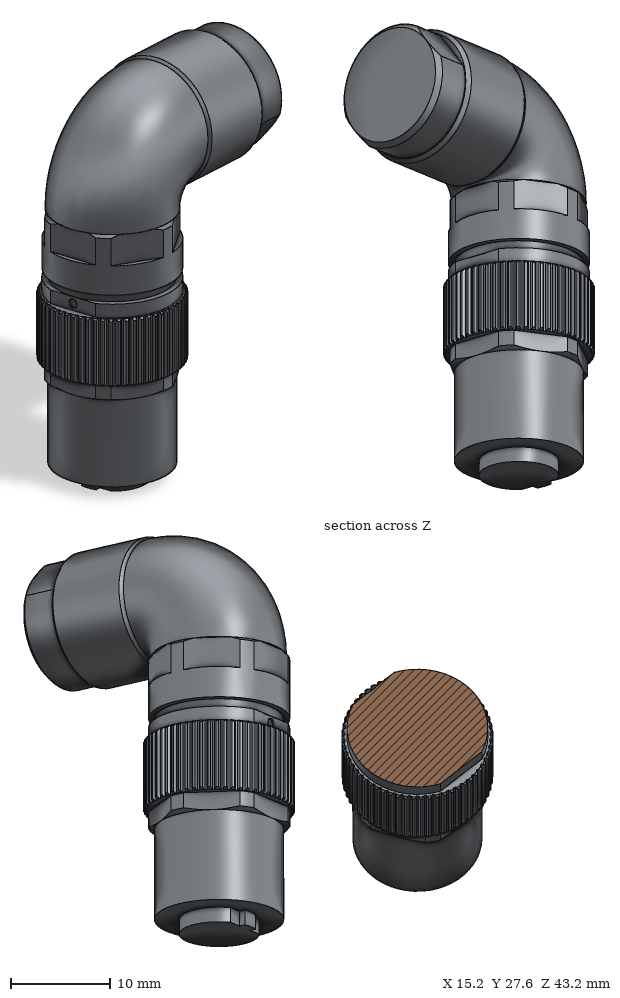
import cadquery as cq
import math

INSERT_TOP = 1.55
SLEEVE_TOP = 11.06
KNURL_BOTTOM = 12.95
KNURL_TOP = 20.3
PINNED_RING_TOP = 21.8
NECK_TOP = 22.8
FLATS_BOTTOM = 26.0
ELBOW_BASE = 29.28

BEND_RADIUS = 6.95
BODY_END = 16.0
CABLE_END = 20.0

INSERT_RADIUS = 4.0
SLEEVE_RADIUS = 6.5
NECK_RADIUS = 6.45
HEX_RADIUS = 7.1
KNURL_RADIUS = 7.6
KNURL_ROOT_RADIUS = 7.3
ELBOW_RADIUS = 6.78
BODY_RADIUS = 7.0
CABLE_NUT_RADIUS = 6.5

HEX_FLAT = 6.5
INSERT_FLAT = 3.2
CABLE_FLAT = 6.0

FRONT = -90
BACK = 90
HEX_ANGLES = [30 + 60 * side for side in range(6)]
CABLE_SEAM_ANGLE = 22
CABLE_FLAT_TURN = 60 - CABLE_SEAM_ANGLE

KEY_WIDTH = 1.8
TOOTH_COUNT = 59
TOOTH_TIP_WIDTH = 0.25
GROOVE_ROOT_WIDTH = 0.2
KNURL_CHAMFER = 0.2
HEX_RIM_HEIGHT = 0.3
HEX_LOWER_RIM = 6.5
HEX_UPPER_RIM = 6.75
BODY_CHAMFER = 0.4
CABLE_NUT_CHAMFER = 0.5
DIMPLE_RADIUS = 0.5
DIMPLE_DEPTH = 0.2

BLOCK = 4 * KNURL_RADIUS

CABLE_AXIS_HEIGHT = ELBOW_BASE + BEND_RADIUS


def upright_plane(height):
    """Horizontal plane whose local X points forward (-Y), so round faces meet at the front."""
    return cq.Workplane(cq.Plane((0, 0, height), (0, -1, 0), (0, 0, 1)))


def cylinder(radius, bottom, top):
    """Upright cylinder on the plug axis."""
    return upright_plane(bottom).circle(radius).extrude(top - bottom)


def flat_prism(flat_distance, angles, bottom, top):
    """Upright block cut back to a flat at each angle about the plug axis."""
    height = top - bottom
    prism = cq.Workplane("XY").box(BLOCK, BLOCK, height).translate((0, 0, bottom + height / 2))
    for angle in angles:
        waste = (
            cq.Workplane("XY")
            .box(BLOCK, BLOCK, height)
            .translate((flat_distance + BLOCK / 2, 0, bottom + height / 2))
            .rotate((0, 0, 0), (0, 0, 1), angle)
        )
        prism = prism.cut(waste)
    return prism


def revolved(points):
    """Solid of revolution about the plug axis from (radius, height) points."""
    half_section = cq.Plane((0, 0, 0), (0, -1, 0), (-1, 0, 0))
    return cq.Workplane(half_section).polyline(points).close().revolve(360, (0, 0), (0, 1))


def make_insert():
    """Contact insert with one flat that leaves a key in its middle."""
    body = cylinder(INSERT_RADIUS, 0, INSERT_TOP)
    flattened = body.intersect(flat_prism(INSERT_FLAT, [FRONT], 0, INSERT_TOP))
    key = (
        cq.Workplane("XY")
        .rect(KEY_WIDTH, INSERT_RADIUS)
        .extrude(INSERT_TOP)
        .translate((0, -INSERT_RADIUS / 2, 0))
    )
    return flattened.union(body.intersect(key))


def make_lower_hex():
    """Rounded hexagon under the knurl, bevelled at its lower rim."""
    blank = revolved([
        (0, SLEEVE_TOP),
        (HEX_LOWER_RIM, SLEEVE_TOP),
        (HEX_RADIUS, SLEEVE_TOP + HEX_RIM_HEIGHT),
        (HEX_RADIUS, KNURL_BOTTOM),
        (0, KNURL_BOTTOM),
    ])
    return blank.intersect(flat_prism(HEX_FLAT, HEX_ANGLES, SLEEVE_TOP, KNURL_BOTTOM))


def make_knurl():
    """Coupling ring with straight tapered grooves all round and a tooth at the front."""
    height = KNURL_TOP - KNURL_BOTTOM
    ring = cylinder(KNURL_RADIUS, KNURL_BOTTOM, KNURL_TOP).edges("%CIRCLE").chamfer(KNURL_CHAMFER)
    pitch = 360 / TOOTH_COUNT
    mouth = 2 * math.pi * KNURL_RADIUS / TOOTH_COUNT - TOOTH_TIP_WIDTH
    slope = (mouth - GROOVE_ROOT_WIDTH) / 2 / (KNURL_RADIUS - KNURL_ROOT_RADIUS)
    outer_radius = KNURL_RADIUS + KNURL_CHAMFER
    outer_half = mouth / 2 + slope * KNURL_CHAMFER
    root_half = GROOVE_ROOT_WIDTH / 2
    groove = (
        cq.Workplane("XY")
        .workplane(offset=KNURL_BOTTOM)
        .polyline([
            (KNURL_ROOT_RADIUS, -root_half),
            (outer_radius, -outer_half),
            (outer_radius, outer_half),
            (KNURL_ROOT_RADIUS, root_half),
        ])
        .close()
        .extrude(height)
    )
    grooves = [
        groove.rotate((0, 0, 0), (0, 0, 1), FRONT + pitch * (index + 0.5)).val()
        for index in range(TOOTH_COUNT)
    ]
    return ring.cut(cq.Compound.makeCompound(grooves))


def make_pinned_ring():
    """Ring above the knurl with two flats and a round dimple in the front one."""
    ring = cylinder(HEX_RADIUS, KNURL_TOP, PINNED_RING_TOP)
    ring = ring.intersect(flat_prism(HEX_FLAT, [FRONT, BACK], KNURL_TOP, PINNED_RING_TOP))
    dimple = (
        cq.Workplane("XZ", origin=(0, -HEX_FLAT, (KNURL_TOP + PINNED_RING_TOP) / 2))
        .circle(DIMPLE_RADIUS)
        .extrude(-DIMPLE_DEPTH)
    )
    return ring.cut(dimple)


def make_collar():
    """Collar below the elbow: round at the bottom, rounded hexagon at the top."""
    blank = revolved([
        (0, NECK_TOP),
        (HEX_RADIUS, NECK_TOP),
        (HEX_RADIUS, ELBOW_BASE - HEX_RIM_HEIGHT),
        (HEX_UPPER_RIM, ELBOW_BASE),
        (0, ELBOW_BASE),
    ])
    hexagon = flat_prism(HEX_FLAT, HEX_ANGLES, FLATS_BOTTOM, ELBOW_BASE)
    round_part = cylinder(HEX_RADIUS, NECK_TOP, FLATS_BOTTOM)
    return blank.intersect(hexagon.union(round_part))


def make_elbow():
    """Quarter bend from the plug axis to the cable axis."""
    return (
        upright_plane(ELBOW_BASE)
        .circle(ELBOW_RADIUS)
        .revolve(90, (-BEND_RADIUS, 1, 0), (-BEND_RADIUS, -1, 0))
    )


def along_cable(radius, start, end):
    """Cylinder on the cable axis between two Y positions, its seam low on the -X side."""
    seam = math.radians(CABLE_SEAM_ANGLE)
    plane = cq.Plane(
        (0, start, CABLE_AXIS_HEIGHT),
        (-math.cos(seam), 0, -math.sin(seam)),
        (0, 1, 0),
    )
    return cq.Workplane(plane).circle(radius).extrude(end - start)


def make_body():
    """Round body behind the elbow, bevelled at both ends."""
    return along_cable(BODY_RADIUS, BEND_RADIUS, BODY_END).edges("%CIRCLE").chamfer(BODY_CHAMFER)


def make_cable_nut():
    """Cable nut with two opposite spanner flats and a bevelled outer end."""
    nut = along_cable(CABLE_NUT_RADIUS, BODY_END, CABLE_END).faces(">Y").chamfer(CABLE_NUT_CHAMFER)
    slab = (
        cq.Workplane("XY")
        .box(2 * CABLE_FLAT, BLOCK, BLOCK)
        .rotate((0, 0, 0), (0, 1, 0), CABLE_FLAT_TURN)
        .translate((0, (BODY_END + CABLE_END) / 2, CABLE_AXIS_HEIGHT))
    )
    return nut.intersect(slab)


result = (
    make_insert()
    .union(cylinder(SLEEVE_RADIUS, INSERT_TOP, SLEEVE_TOP))
    .union(make_lower_hex())
    .union(make_knurl())
    .union(make_pinned_ring())
    .union(cylinder(NECK_RADIUS, PINNED_RING_TOP, NECK_TOP))
    .union(make_collar())
    .union(make_elbow())
    .union(make_body())
    .union(make_cable_nut())
)